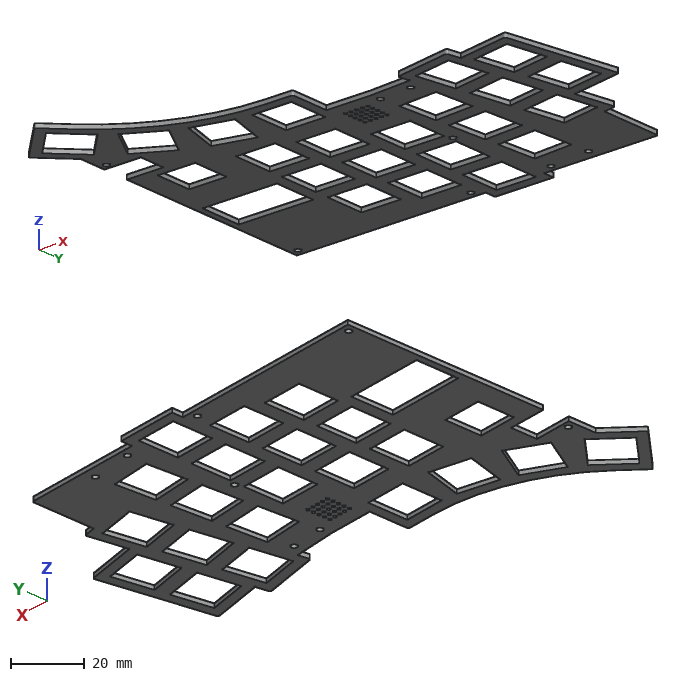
import cadquery as cq
import math


thickness = 1.5
key_pitch = 19.0
key_size = 14.1
tile_size = 21.0
corner_radius = 0.6

body_left = 9.6
body_right = 139.2
body_top = 114.3
body_step = 42.0

column_x = 87.9
column_y = 88.7
second_column_drop = 9.0
first_column_drop = 12.0

turned_key = (108.3, 78.2)
turned_angle = -4

cluster_key = (128.2, 64.0)
cluster_angle = -10
cluster_stagger = 5.0

thumb_key = (72.2, 38.4)
fan_radius = 81.8
fan_step = 15
thumb_count = 4

display_centre = (25.3, 79.8)
display_size = (26.7, 15.0)
module_centre = (24.6, 53.3)
module_size = (13.5, 13.0)
notch_depth = 13.1
notch_bottom = 34.2
notch_top = 43.5

screw_diameter = 2.1
screw_places = [
    (12.2, 111.7),
    (74.2, 111.7),
    (103.0, 111.7),
    (117.6, 110.4),
    (95.9, 79.2),
    (98.9, 45.6),
    (110.4, 44.8),
    (12.2, 32.2),
]
vent_diameter = 1.0
vent_count = 5
vent_span = 8.0
vent_centre = (89.0, 51.2)


def turned_point(origin, angle, along, across):
    """Point offset from origin in axes turned by angle degrees."""
    turn = math.radians(angle)
    x = origin[0] + along * math.cos(turn) - across * math.sin(turn)
    y = origin[1] + along * math.sin(turn) + across * math.cos(turn)
    return (x, y)


def block(centre, size, angle=0, rounding=0):
    """Block of plate thickness, turned about its centre, with optional rounded corners."""
    box = cq.Workplane("XY").box(size[0], size[1], thickness, centered=(True, True, False))
    if rounding > 0:
        box = box.edges("|Z").fillet(rounding)
    return box.rotate((0, 0, 0), (0, 0, 1), angle).translate((centre[0], centre[1], 0))


def key_column(middle, angle=0):
    """Places and angle of three keys spaced along a column."""
    return [(turned_point(middle, angle, 0, row * key_pitch), angle) for row in (-1, 0, 1)]


second_column = (column_x - key_pitch, column_y - second_column_drop)
first_column = (column_x - 2 * key_pitch, column_y - first_column_drop)
third_column = (column_x, column_y)
outer_centre = turned_point(cluster_key, cluster_angle, key_pitch, cluster_stagger - key_pitch / 2)
outer_keys = [
    (turned_point(outer_centre, cluster_angle, 0, side * key_pitch / 2), cluster_angle)
    for side in (-1, 1)
]
fan_centre = (thumb_key[0], thumb_key[1] - fan_radius)
thumb_keys = [
    (turned_point(fan_centre, number * fan_step, 0, fan_radius), number * fan_step)
    for number in range(thumb_count)
]
keys = (
    key_column(first_column)
    + key_column(second_column)
    + key_column(third_column)
    + key_column(turned_key, turned_angle)
    + key_column(cluster_key, cluster_angle)
    + outer_keys
    + thumb_keys
)


def main_body():
    """Body outline; its open ends run into the cluster and the last thumb tile."""
    inner_radius = fan_radius - tile_size / 2
    last_place, last_angle = thumb_keys[-1]
    arc_start = turned_point(fan_centre, 0, 0, inner_radius)
    arc_middle = turned_point(fan_centre, last_angle / 2, 0, inner_radius)
    arc_end = turned_point(fan_centre, last_angle, 0, inner_radius)
    step_x = thumb_key[0] + tile_size / 2
    slope_start = (column_x + tile_size / 2, body_step)
    slope_end = turned_point(slope_start, turned_angle, key_pitch, 0)
    body = (
        cq.Workplane("XY")
        .moveTo(body_left, body_top)
        .lineTo(body_right, body_top)
        .lineTo(body_right, cluster_key[1] + key_pitch)
        .lineTo(*slope_end)
        .lineTo(*slope_start)
        .lineTo(step_x, body_step)
        .lineTo(step_x, arc_start[1])
        .lineTo(*arc_start)
        .threePointArc(arc_middle, arc_end)
        .lineTo(body_left, last_place[1])
        .close()
        .extrude(thickness)
    )
    rounded_corners = [(body_right, body_top), (step_x, arc_start[1])]
    for corner in rounded_corners:
        nearest = cq.NearestToPointSelector((corner[0], corner[1], thickness / 2))
        body = body.edges("|Z").edges(nearest).fillet(corner_radius)
    return body


def outline_tiles():
    """Top tab, right cluster blocks and last thumb tile."""
    last_place, last_angle = thumb_keys[-1]
    column_length = 2 * key_pitch + tile_size
    outer_length = key_pitch + tile_size
    return [
        block(third_column, (tile_size, column_length)),
        block(cluster_key, (tile_size, column_length), cluster_angle, corner_radius),
        block(outer_centre, (tile_size, outer_length), cluster_angle, corner_radius),
        block(last_place, (tile_size, tile_size), last_angle, corner_radius),
    ]


def round_holes():
    """Screw holes and the square grid of vent holes."""
    vent_pitch = vent_span / (vent_count - 1)
    screws = cq.Workplane("XY").pushPoints(screw_places).circle(screw_diameter / 2).extrude(thickness)
    vents = (
        cq.Workplane("XY")
        .center(*vent_centre)
        .rarray(vent_pitch, vent_pitch, vent_count, vent_count)
        .circle(vent_diameter / 2)
        .extrude(thickness)
    )
    return [screws, vents]


plate = main_body()
for tile in outline_tiles():
    plate = plate.union(tile)

for place, angle in keys:
    plate = plate.cut(block(place, (key_size, key_size), angle))

notch_centre = (body_left + notch_depth / 2, (notch_bottom + notch_top) / 2)
notch_size = (notch_depth, notch_top - notch_bottom)
plate = plate.cut(block(display_centre, display_size))
plate = plate.cut(block(module_centre, module_size))
plate = plate.cut(block(notch_centre, notch_size))

for holes in round_holes():
    plate = plate.cut(holes)

result = plate